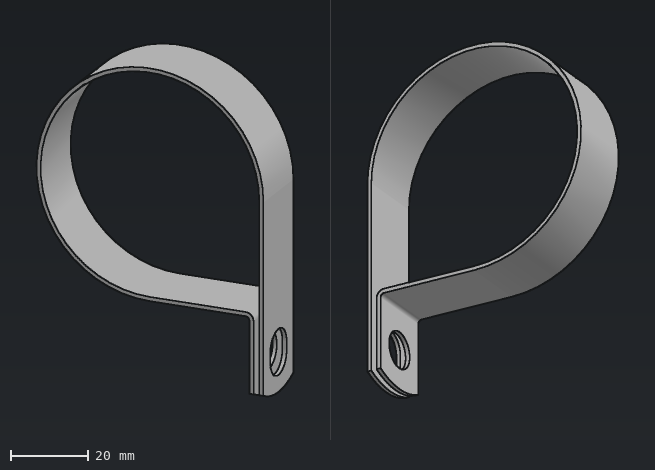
import cadquery as cq
import math

strip_width = 19.05
thickness = 1.22
loop_outer_diameter = 64.34
overall_height = 87.72

bend_inner_radius = 1.08
tab_gap = 1.575
hole_diameter = 10.3
slot_length = 12.7
hole_to_tab_end = 11.11
tab_end_radius = 22.225

loop_outer_radius = loop_outer_diameter / 2
loop_inner_radius = loop_outer_radius - thickness
bend_outer_radius = bend_inner_radius + thickness

tab_end_z = loop_outer_radius - overall_height
short_tab_outer_x = loop_inner_radius - tab_gap
short_tab_inner_x = short_tab_outer_x - thickness
gap_middle_x = loop_inner_radius - tab_gap / 2
bend_center_x = short_tab_outer_x - bend_outer_radius
bend_center_z = -loop_outer_radius - bend_inner_radius
hole_z = tab_end_z + hole_to_tab_end


def on_circle(center_x, center_z, radius, angle_degrees):
    """Point in the XZ plane on a circle, with the angle measured from +X toward +Z."""
    angle = math.radians(angle_degrees)
    return (center_x + radius * math.cos(angle), center_z + radius * math.sin(angle))


def make_strip():
    """Bent strip: long tab, three-quarter loop, flat shelf, bend and short tab."""
    loop_middle_angle = 135
    bend_middle_angle = 45
    profile = (
        cq.Workplane("XZ")
        .moveTo(loop_outer_radius, tab_end_z)
        .lineTo(loop_outer_radius, 0)
        .threePointArc(on_circle(0, 0, loop_outer_radius, loop_middle_angle), (0, -loop_outer_radius))
        .lineTo(bend_center_x, -loop_outer_radius)
        .threePointArc(
            on_circle(bend_center_x, bend_center_z, bend_inner_radius, bend_middle_angle),
            (short_tab_inner_x, bend_center_z),
        )
        .lineTo(short_tab_inner_x, tab_end_z)
        .lineTo(short_tab_outer_x, tab_end_z)
        .lineTo(short_tab_outer_x, bend_center_z)
        .threePointArc(
            on_circle(bend_center_x, bend_center_z, bend_outer_radius, bend_middle_angle),
            (bend_center_x, -loop_inner_radius),
        )
        .lineTo(0, -loop_inner_radius)
        .threePointArc(on_circle(0, 0, loop_inner_radius, loop_middle_angle), (loop_inner_radius, 0))
        .lineTo(loop_inner_radius, tab_end_z)
        .close()
    )
    return profile.extrude(strip_width / 2, both=True)


def make_side_envelope():
    """Block with the side outline of the clamp: square top and rounded tab ends."""
    half_width = strip_width / 2
    end_arc_rise = tab_end_radius - math.sqrt(tab_end_radius**2 - half_width**2)
    corner_z = tab_end_z + end_arc_rise
    return (
        cq.Workplane("YZ")
        .moveTo(-half_width, loop_outer_radius)
        .lineTo(-half_width, corner_z)
        .threePointArc((0, tab_end_z), (half_width, corner_z))
        .lineTo(half_width, loop_outer_radius)
        .close()
        .extrude(loop_outer_radius, both=True)
    )


def make_bolt_hole():
    """Cylinder along X that pierces the short tab and stops in the gap between the tabs."""
    return (
        cq.Workplane("YZ")
        .center(0, hole_z)
        .circle(hole_diameter / 2)
        .extrude(gap_middle_x)
    )


def make_adjustment_slot():
    """Upright slot along X that pierces the long tab, starting in the gap between the tabs."""
    upright_angle = 90
    return (
        cq.Workplane("YZ")
        .workplane(offset=gap_middle_x)
        .center(0, hole_z)
        .slot2D(slot_length, hole_diameter, upright_angle)
        .extrude(loop_outer_radius - gap_middle_x)
    )


strip = make_strip().intersect(make_side_envelope())
result = strip.cut(make_bolt_hole()).cut(make_adjustment_slot())